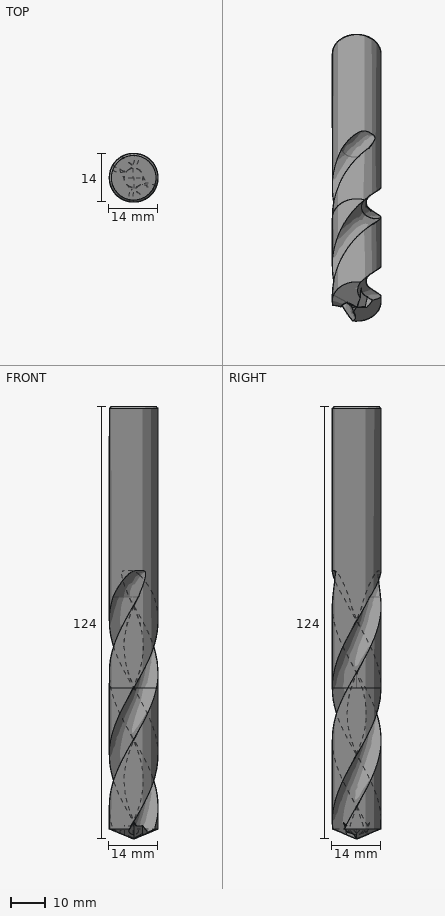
import cadquery as cq
import math

LENGTH = 124
DIAMETER = 14.0
RADIUS = DIAMETER / 2
JOINT_HEIGHT = 43.3
TOP_CHAMFER = 0.6
POINT_ANGLE = 135
POINT_HEIGHT = RADIUS / math.tan(math.radians(POINT_ANGLE / 2))

FLUTE_COUNT = 2
FLUTE_PITCH = 76.8
FLUTE_RADIUS = 4.1
FLUTE_OFFSET = 6.8
FLUTE_TOP = 69.5
FLUTE_TOP_ANGLE = -113
FLUTE_TURN = 360 * FLUTE_TOP / FLUTE_PITCH

RUNOUT_HEIGHT = 7.6
RUNOUT_END_RADIUS = 2.9
RUNOUT_LIFT = RADIUS + RUNOUT_END_RADIUS - FLUTE_OFFSET
RUNOUT_STEPS = 5
RUNOUT_TURN = 37

GASH_RIDGE = 2.6
GASH_RIDGE_HEIGHT = 1.6
GASH_RUN = 3.7
GASH_RISE_ANGLE = 50
GASH_SETBACK = 0.1
GASH_NEAR_EAVES = 0.2
GASH_WIDTH = 3.8
GASH_FAR_EAVES = -0.5
GASH_DEPTH = 9.9
GASH_ANGLE = -90


def drill_blank():
    """Solid round bar with a conical point and a chamfered top."""
    return (
        cq.Workplane("XZ")
        .moveTo(0, 0)
        .lineTo(RADIUS, POINT_HEIGHT)
        .lineTo(RADIUS, LENGTH - TOP_CHAMFER)
        .lineTo(RADIUS - TOP_CHAMFER, LENGTH)
        .lineTo(0, LENGTH)
        .close()
        .revolve(360, (0, 0), (0, 1))
    )


def helical_cutter():
    """Round section carried up the helix to the start of the runout."""
    return (
        cq.Workplane("XY")
        .moveTo(FLUTE_OFFSET, 0)
        .circle(FLUTE_RADIUS)
        .twistExtrude(FLUTE_TOP, FLUTE_TURN)
        .rotate((0, 0, 0), (0, 0, 1), FLUTE_TOP_ANGLE - FLUTE_TURN)
    )


def runout_cutter():
    """Continuation of the helical groove that narrows and moves outward as it climbs."""
    sections = []
    for step in range(RUNOUT_STEPS + 1):
        sweep = math.pi / 2 * step / RUNOUT_STEPS
        rise = RUNOUT_HEIGHT * math.sin(sweep)
        offset = FLUTE_OFFSET + RUNOUT_LIFT * (1 - math.cos(sweep))
        radius = FLUTE_RADIUS + (RUNOUT_END_RADIUS - FLUTE_RADIUS) * rise / RUNOUT_HEIGHT
        turn = FLUTE_TOP_ANGLE + RUNOUT_TURN * rise / RUNOUT_HEIGHT
        centre = cq.Vector(offset, 0, FLUTE_TOP + rise)
        section = cq.Wire.makeCircle(radius, centre, cq.Vector(0, 0, 1))
        sections.append(section.rotate(cq.Vector(0, 0, 0), cq.Vector(0, 0, 1), turn))
    return cq.Workplane(cq.Solid.makeLoft(sections))


def gash_cutter():
    """Peaked pocket that starts at the axis and climbs outward into the flute."""
    run = cq.Vector(GASH_RUN, 0, GASH_RUN * math.tan(math.radians(GASH_RISE_ANGLE)))
    profile = cq.Wire.makePolygon(
        [
            cq.Vector(0, GASH_SETBACK, -GASH_DEPTH),
            cq.Vector(0, GASH_SETBACK, GASH_NEAR_EAVES),
            cq.Vector(0, GASH_RIDGE, GASH_RIDGE_HEIGHT),
            cq.Vector(0, GASH_WIDTH, GASH_FAR_EAVES),
            cq.Vector(0, GASH_WIDTH, -GASH_DEPTH),
        ],
        close=True,
    )
    pocket = cq.Solid.extrudeLinear(profile, [], run)
    return cq.Workplane(pocket).rotate((0, 0, 0), (0, 0, 1), GASH_ANGLE)


def fluted_drill():
    drill = drill_blank()
    for cutter in (helical_cutter(), runout_cutter(), gash_cutter()):
        for flute in range(FLUTE_COUNT):
            drill = drill.cut(cutter.rotate((0, 0, 0), (0, 0, 1), 360 / FLUTE_COUNT * flute))
    return drill


def slice_between(body, bottom, top):
    """Part of a body between two heights."""
    slab = cq.Workplane("XY", origin=(0, 0, bottom)).rect(2 * DIAMETER, 2 * DIAMETER).extrude(top - bottom)
    return body.intersect(slab)


drill = fluted_drill()
cutting_head = slice_between(drill, 0, JOINT_HEIGHT)
shank = slice_between(drill, JOINT_HEIGHT, LENGTH)

result = cq.Compound.makeCompound([*cutting_head.vals(), *shank.vals()])